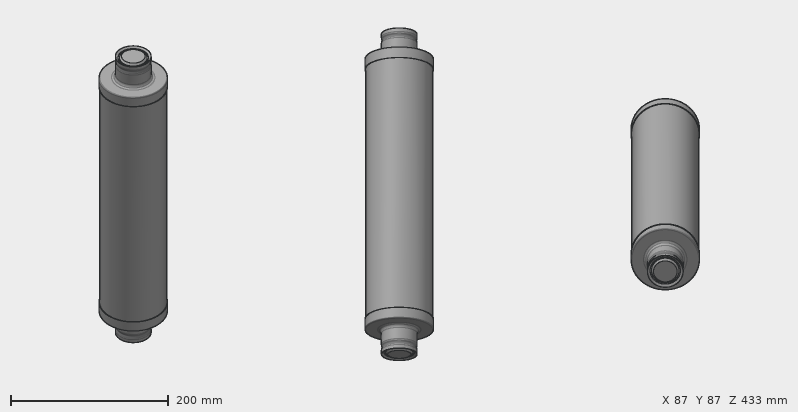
import cadquery as cq
import math

total_length = 433.0
cap_diameter = 87.0
shell_diameter = 85.4

spigot_length = 33.3
cap_height = 14.5
cap_edge_round = 1.0

spigot_radius = 22.8
root_upper_radius = 5.6
root_lower_radius = 4.2
root_joint_angle = math.radians(45)

groove_from_end = 9.1
groove_slope = math.radians(23)
groove_shoulder_radius = 5.5
groove_flank_length = 1.4
groove_bottom_radius = 1.5

plug_radius = 14.9
plug_slope_width = 2.6
recess_depth = 2.7
valley_width = 1.7
lip_wall_height = 0.6
lip_round_radius = 11.5
lip_edge_chamfer = 0.4

end_z = total_length / 2
cap_top = end_z - spigot_length
cap_bottom = cap_top - cap_height
cap_radius = cap_diameter / 2


def draw_cap(profile):
    """Draw the cap outline from the axis out and back in to the foot of the spigot."""
    root_drop = root_lower_radius * (1 - math.cos(root_joint_angle))
    joint_radius = spigot_radius + root_upper_radius * (1 - math.cos(root_joint_angle))
    root_radius = joint_radius + root_lower_radius * math.sin(root_joint_angle)
    joint_z = cap_top + root_drop
    root_top_z = joint_z + root_upper_radius * math.sin(root_joint_angle)
    return (
        profile.moveTo(0, cap_bottom)
        .lineTo(cap_radius, cap_bottom)
        .lineTo(cap_radius, cap_top - cap_edge_round)
        .radiusArc((cap_radius - cap_edge_round, cap_top), -cap_edge_round)
        .lineTo(root_radius, cap_top)
        .radiusArc((joint_radius, joint_z), root_lower_radius)
        .radiusArc((spigot_radius, root_top_z), root_upper_radius)
    )


def draw_groove(profile):
    """Continue the outline up the spigot wall and through the V groove."""
    groove_z = end_z - groove_from_end
    bottom_half = groove_bottom_radius * math.sin(groove_slope)
    flank_half = bottom_half + groove_flank_length * math.cos(groove_slope)
    shoulder_half = flank_half + groove_shoulder_radius * math.sin(groove_slope)
    flank_radius = spigot_radius - groove_shoulder_radius * (1 - math.cos(groove_slope))
    bottom_radius = flank_radius - groove_flank_length * math.sin(groove_slope)
    return (
        profile.lineTo(spigot_radius, groove_z - shoulder_half)
        .radiusArc((flank_radius, groove_z - flank_half), -groove_shoulder_radius)
        .lineTo(bottom_radius, groove_z - bottom_half)
        .radiusArc((bottom_radius, groove_z + bottom_half), groove_bottom_radius)
        .lineTo(flank_radius, groove_z + flank_half)
        .radiusArc((spigot_radius, groove_z + shoulder_half), -groove_shoulder_radius)
    )


def draw_end_face(profile):
    """Finish the outline over the rounded lip, the recess and the plug."""
    valley_z = end_z - recess_depth
    valley_inner = plug_radius + plug_slope_width
    valley_outer = valley_inner + valley_width
    return (
        profile.lineTo(spigot_radius, end_z - lip_edge_chamfer)
        .lineTo(spigot_radius - lip_edge_chamfer, end_z)
        .radiusArc((valley_outer, valley_z + lip_wall_height), -lip_round_radius)
        .lineTo(valley_outer, valley_z)
        .lineTo(valley_inner, valley_z)
        .lineTo(plug_radius, end_z)
        .lineTo(0, end_z)
        .close()
    )


def make_upper_end():
    """Cap and spigot revolved about the part's Z axis."""
    profile = draw_end_face(draw_groove(draw_cap(cq.Workplane("XZ"))))
    return profile.revolve(360, (0, 0, 0), (0, 1, 0))


def make_shell():
    """Cylindrical body between the two caps."""
    return (
        cq.Workplane("XY")
        .workplane(offset=-cap_bottom)
        .circle(shell_diameter / 2)
        .extrude(2 * cap_bottom)
    )


upper_end = make_upper_end()
lower_end = upper_end.mirror("XY")
result = make_shell().union(upper_end).union(lower_end)